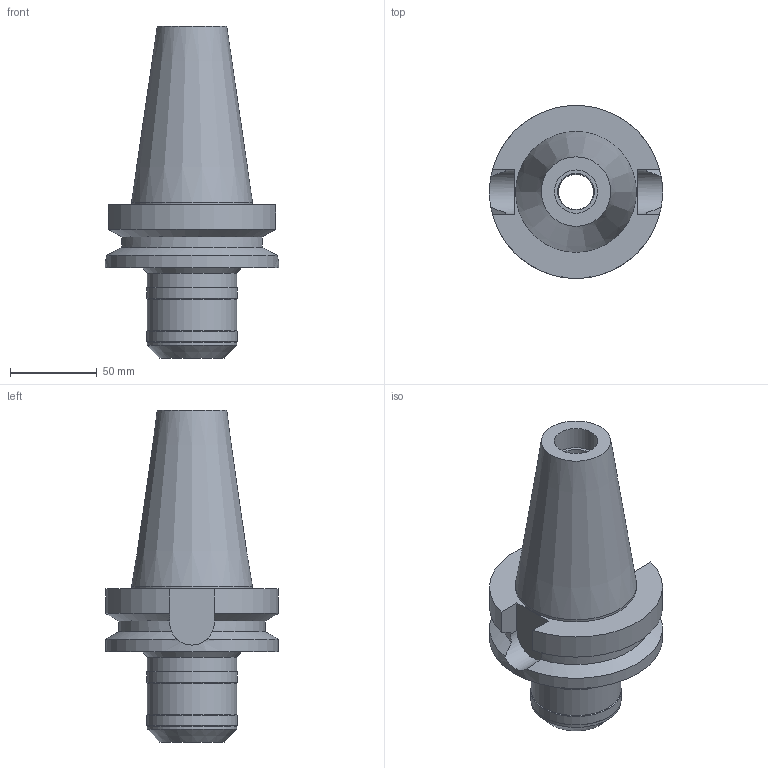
import cadquery as cq
import math


gauge_radius = 69.85 / 2
taper_length = 101.8
taper_slope = 7 / 48
taper_tip_radius = gauge_radius - taper_length * taper_slope

flange_radius = 50.0
flange_top_z = -1.5
flange_bottom_z = -38.0
groove_center_z = -23.2
groove_floor_radius = 42.5
groove_floor_half_width = 3.15
groove_wall_angle = math.radians(30)

slot_width = 25.7
slot_floor_x = 35.4
slot_bottom_z = -34.0

nose_bottom_z = -90.0
nose_radius = 25.85
nose_root_radius = 28.5
nose_root_height = 3.0
nose_tip_radius = 18.9
nose_tip_height = 7.4
band_radius = 26.25
band_spans = [(-49.0, -56.0), (-74.2, -80.8)]
band_chamfer = band_radius - nose_radius

bore_radius = 10.2
stud_hole_radius = 10.6
stud_hole_depth = 60.0
pilot_radius = 12.5
pilot_depth = 13.5


def revolve_profile(profile):
    """Solid of revolution about Z from (radius, height) points."""
    return cq.Workplane("XZ").polyline(profile).close().revolve(360, (0, 0), (0, 1))


def make_body():
    """Taper, grooved flange and nose, turned about Z."""
    groove_wall_height = (flange_radius - groove_floor_radius) * math.tan(groove_wall_angle)
    groove_mouth_half_width = groove_floor_half_width + groove_wall_height
    profile = [
        (0, taper_length),
        (taper_tip_radius, taper_length),
        (gauge_radius, 0),
        (gauge_radius, flange_top_z),
        (flange_radius, flange_top_z),
        (flange_radius, groove_center_z + groove_mouth_half_width),
        (groove_floor_radius, groove_center_z + groove_floor_half_width),
        (groove_floor_radius, groove_center_z - groove_floor_half_width),
        (flange_radius, groove_center_z - groove_mouth_half_width),
        (flange_radius, flange_bottom_z),
        (nose_root_radius, flange_bottom_z),
        (nose_radius, flange_bottom_z - nose_root_height),
        (nose_radius, nose_bottom_z + nose_tip_height),
        (nose_tip_radius, nose_bottom_z),
        (0, nose_bottom_z),
    ]
    return revolve_profile(profile)


def make_band(top_z, bottom_z):
    """Raised ring around the nose, chamfered down to the nose at both ends."""
    band = cq.Workplane("XY", origin=(0, 0, bottom_z)).circle(band_radius).extrude(top_z - bottom_z)
    return band.faces("|Z").edges().chamfer(band_chamfer)


def make_drive_slot(side):
    """Round-bottomed slot cutter on the +X (side = 1) or -X (side = -1) side of the flange."""
    half_width = slot_width / 2
    arc_center_z = slot_bottom_z + half_width
    return (
        cq.Workplane("YZ", origin=(side * slot_floor_x, 0, 0))
        .moveTo(-half_width, flange_top_z)
        .lineTo(-half_width, arc_center_z)
        .threePointArc((0, slot_bottom_z), (half_width, arc_center_z))
        .lineTo(half_width, flange_top_z)
        .close()
        .extrude(side * (flange_radius - slot_floor_x))
    )


def make_bore():
    """Through bore that widens to a pull-stud hole and then a pilot at the small end of the taper."""
    pilot_floor_z = taper_length - pilot_depth
    stud_hole_floor_z = taper_length - stud_hole_depth
    profile = [
        (0, nose_bottom_z),
        (bore_radius, nose_bottom_z),
        (bore_radius, stud_hole_floor_z),
        (stud_hole_radius, stud_hole_floor_z),
        (stud_hole_radius, pilot_floor_z),
        (pilot_radius, pilot_floor_z),
        (pilot_radius, taper_length),
        (0, taper_length),
    ]
    return revolve_profile(profile)


result = make_body()
for top_z, bottom_z in band_spans:
    result = result.union(make_band(top_z, bottom_z))
for side in (-1, 1):
    result = result.cut(make_drive_slot(side))
result = result.cut(make_bore())